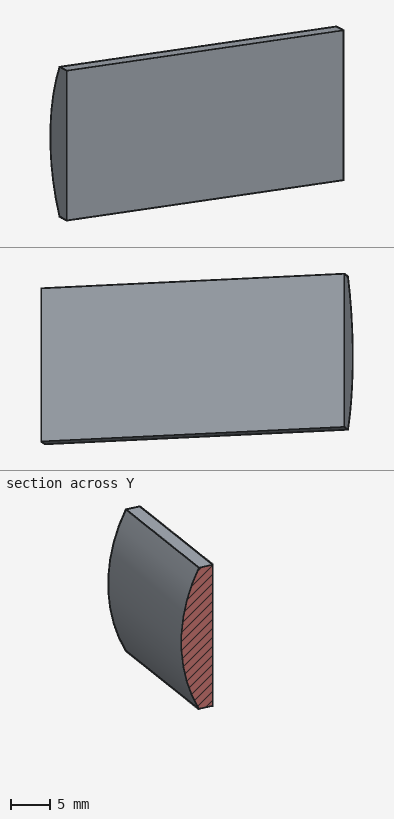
import cadquery as cq
import math

length = 40.0
height = 20.0
center_thickness = 4.6
convex_radius = 20.7

half_height = height / 2
sagitta = convex_radius - math.sqrt(convex_radius**2 - half_height**2)


def make_lens():
    """Extrude the lens profile along Y, with the crown of the convex face at X = 0."""
    profile = (
        cq.Workplane("XZ", origin=(0, length / 2, 0))
        .moveTo(center_thickness, -half_height)
        .lineTo(center_thickness, half_height)
        .lineTo(sagitta, half_height)
        .threePointArc((0, 0), (sagitta, -half_height))
        .close()
    )
    return profile.extrude(length)


result = make_lens()